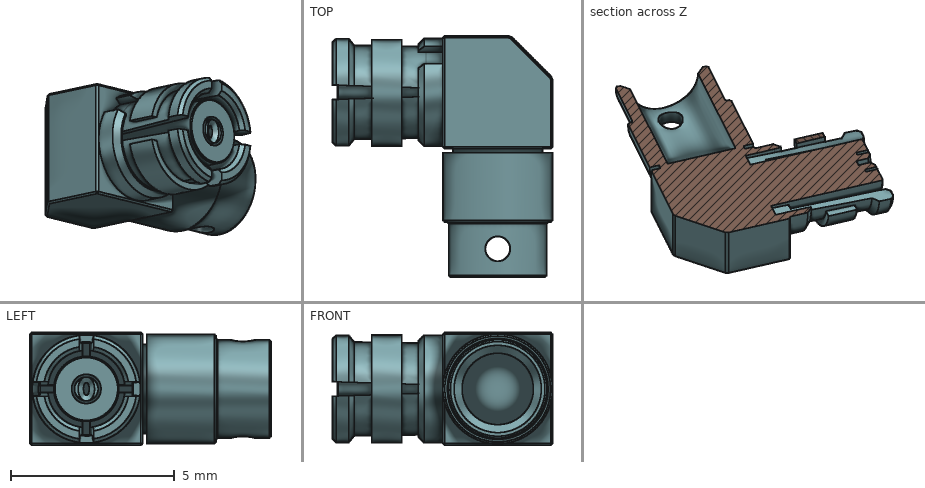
import cadquery as cq


block_x = 3.35
block_y = 3.45
block_z = block_y
block_corner_cut = 1.28
edge_break = 0.06
block_left = -block_x / 2
block_front = -block_y / 2

plug_length = 3.375
plug_tip = block_left - plug_length
lip_radius = 1.65
lip_chamfer = 0.11
lip_back_at = 0.495
neck_start_at = 0.66
neck_front_radius = 1.45
neck_end_at = 2.86
neck_back_radius = 1.41
bore_radius = 1.18
bore_mouth_radius = 1.305
bore_mouth_depth = 0.125
bore_depth = 3.2

slot_count = 4
slot_front_width = 0.44
slot_end_width = 0.21
slot_depth = 3.76

collar_front_at = 2.625
collar_chamfer = 0.185
keyway_width = 0.75
keyway_angle = 45

insulator_radius = 0.995
insulator_front_at = 0.15
insulator_chamfer = 0.04
contact_radius = 0.36
contact_gap_radius = 0.45
contact_gap_depth = 0.37
socket_mouth_radii = (0.25, 0.375)
socket_throat_radii = (0.09, 0.19)
socket_flare_depth = 0.12
socket_throat_length = 0.37

ring_front_at = 1.2
ring_back_at = 2.12
ring_radius = lip_radius
ring_gap = 0.74

tail_length = 3.92
groove_radius = 1.37
sleeve_start_at = 0.12
sleeve_end_at = 2.24
sleeve_radius = block_x / 2
tail_radius = 1.5
tail_foot_radius = 1.54
tail_foot_length = 0.05
tail_bore_radius = 1.09
tail_mouth_radius = 1.335
tail_mouth_depth = tail_mouth_radius - tail_bore_radius
cross_hole_radius = 0.375
cross_hole_at = 3.06


def plug_x(distance):
    """X position of a point a given distance back from the plug tip."""
    return plug_tip + distance


def tail_y(distance):
    """Y position of a point a given distance out along the cable tail."""
    return block_front - distance


def turned_on_x(profile):
    """Revolve (distance from plug tip, radius) points about the plug axis."""
    points = [(plug_x(distance), radius) for distance, radius in profile]
    return cq.Workplane("XZ").polyline(points).close().revolve(360, (0, 0, 0), (1, 0, 0))


def turned_on_y(profile):
    """Revolve (radius, distance from block) points about the tail axis."""
    points = [(radius, tail_y(distance)) for radius, distance in profile]
    return cq.Workplane("ZY").polyline(points).close().revolve(360, (0, 0, 0), (0, 1, 0))


def neck_radius_at(distance):
    """Outer radius of the tapered neck at a given distance from the plug tip."""
    fraction = (distance - neck_start_at) / (neck_end_at - neck_start_at)
    return neck_front_radius + fraction * (neck_back_radius - neck_front_radius)


def make_block():
    block = cq.Workplane("XY").box(block_x, block_y, block_z)
    block = block.edges("|Z and >X and >Y").chamfer(block_corner_cut)
    return block.edges().chamfer(edge_break)


def make_barrel():
    return turned_on_x([
        (0, bore_mouth_radius),
        (0, lip_radius - lip_chamfer),
        (lip_chamfer, lip_radius),
        (lip_back_at, lip_radius),
        (neck_start_at, neck_front_radius),
        (neck_end_at, neck_back_radius),
        (plug_length, neck_back_radius),
        (plug_length, 0),
        (bore_depth, 0),
        (bore_depth, bore_radius),
        (bore_mouth_depth, bore_radius),
    ])


def make_finger_slots():
    """Radial wedges that narrow from the plug tip to the slot end, kept inside the collar."""
    wedge = (
        cq.Workplane("XY")
        .polyline([
            (plug_x(0), slot_front_width / 2),
            (plug_x(slot_depth), slot_end_width / 2),
            (plug_x(slot_depth), -slot_end_width / 2),
            (plug_x(0), -slot_front_width / 2),
        ])
        .close()
        .extrude(lip_radius)
    )
    slots = cq.Workplane("XY")
    for index in range(slot_count):
        slots = slots.add(wedge.rotate((0, 0, 0), (1, 0, 0), index * 360 / slot_count))
    slots = slots.combine()
    reach = turned_on_x([
        (0, 0),
        (0, lip_radius),
        (neck_start_at, lip_radius),
        (neck_start_at, neck_front_radius),
        (neck_end_at, neck_back_radius),
        (slot_depth, neck_back_radius),
        (slot_depth, 0),
    ])
    return slots.intersect(reach)


def make_collar():
    collar = turned_on_x([
        (collar_front_at, neck_radius_at(collar_front_at)),
        (collar_front_at, lip_radius - collar_chamfer),
        (collar_front_at + collar_chamfer, lip_radius),
        (plug_length, lip_radius),
        (plug_length, neck_back_radius),
        (neck_end_at, neck_back_radius),
    ])
    keyway = (
        cq.Workplane("XY")
        .box(plug_length - collar_front_at, keyway_width, lip_radius, centered=(False, True, False))
        .translate((plug_x(collar_front_at), 0, 0))
        .rotate((0, 0, 0), (1, 0, 0), -keyway_angle)
    )
    return collar.cut(keyway)


def make_insulator():
    """Insulator with the contact standing in an annular gap at its front."""
    insulator = turned_on_x([
        (insulator_front_at, 0),
        (insulator_front_at, contact_radius),
        (insulator_front_at + contact_gap_depth, contact_radius),
        (insulator_front_at + contact_gap_depth, contact_gap_radius),
        (insulator_front_at, contact_gap_radius),
        (insulator_front_at, insulator_radius - insulator_chamfer),
        (insulator_front_at + insulator_chamfer, insulator_radius),
        (slot_depth, insulator_radius),
        (slot_depth, 0),
    ])
    flare = (
        cq.Workplane("YZ", origin=(plug_x(insulator_front_at), 0, 0))
        .ellipse(*socket_mouth_radii)
        .workplane(offset=socket_flare_depth)
        .ellipse(*socket_throat_radii)
        .loft()
    )
    throat = (
        cq.Workplane("YZ", origin=(plug_x(insulator_front_at + socket_flare_depth), 0, 0))
        .ellipse(*socket_throat_radii)
        .extrude(socket_throat_length)
    )
    return insulator.cut(flare).cut(throat)


def make_tail():
    tail = turned_on_y([
        (0, 0),
        (groove_radius, 0),
        (groove_radius, sleeve_start_at),
        (sleeve_radius, sleeve_start_at),
        (sleeve_radius, sleeve_end_at - edge_break),
        (sleeve_radius - edge_break, sleeve_end_at),
        (tail_foot_radius, sleeve_end_at),
        (tail_radius, sleeve_end_at + tail_foot_length),
        (tail_radius, tail_length - edge_break),
        (tail_radius - edge_break, tail_length),
        (tail_mouth_radius, tail_length),
        (tail_bore_radius, tail_length - tail_mouth_depth),
        (tail_bore_radius, sleeve_start_at),
        (0, sleeve_start_at),
    ])
    cross_hole = (
        cq.Workplane("XY")
        .center(0, tail_y(cross_hole_at))
        .circle(cross_hole_radius)
        .extrude(tail_radius, both=True)
    )
    return tail.cut(cross_hole)


def make_housing():
    fingers = make_block().union(make_barrel()).cut(make_finger_slots())
    return fingers.union(make_collar()).union(make_insulator()).union(make_tail())


def make_ring():
    """Split ring that closely follows the neck taper, open on the +Y side."""
    ring = turned_on_x([
        (ring_front_at, neck_radius_at(ring_front_at)),
        (ring_front_at, ring_radius),
        (ring_back_at, ring_radius),
        (ring_back_at, neck_radius_at(ring_back_at)),
    ])
    gap = (
        cq.Workplane("XY")
        .box(ring_back_at - ring_front_at, ring_radius, ring_gap, centered=(False, False, True))
        .translate((plug_x(ring_front_at), 0, 0))
    )
    return ring.cut(gap)


housing = make_housing()
ring = make_ring()
result = cq.Compound.makeCompound([housing.solids().val(), ring.solids().val()])